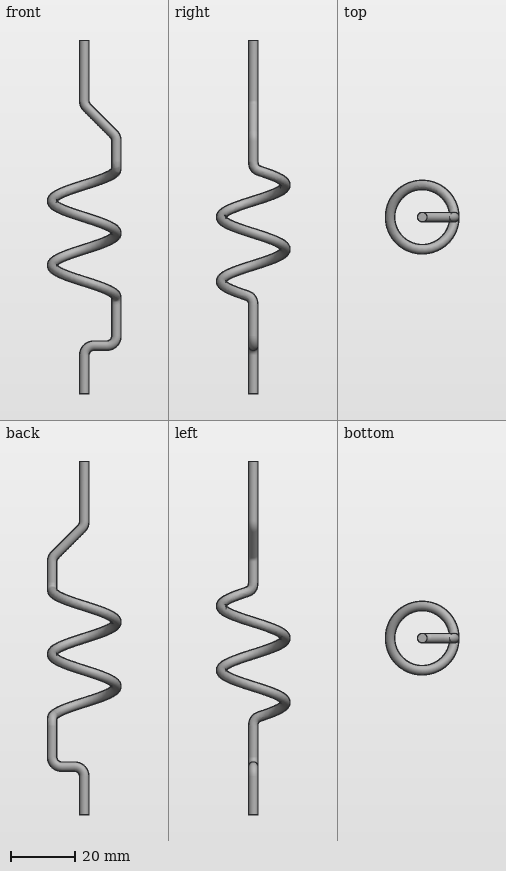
import cadquery as cq
import math

wire_diameter = 3.0
coil_radius = 10.0
coil_pitch = 20.0
coil_turns = 2
bend_radius = 3.0

lower_crank_z = 15.0
coil_start_z = 30.0
coil_end_z = coil_start_z + coil_turns * coil_pitch
upper_crank_start_z = 80.0
upper_crank_end_z = upper_crank_start_z + coil_radius
top_z = 110.0

helix_angle = math.atan(coil_pitch / (2 * math.pi * coil_radius))
coil_bend_setback = bend_radius * math.tan((math.pi / 2 - helix_angle) / 2)
coil_bend_sweep = coil_bend_setback * math.cos(helix_angle) / coil_radius
coil_sweep = 2 * math.pi * coil_turns


def coil_point(angle):
    """Point on the left-handed coil after turning by angle from its lower end."""
    return cq.Vector(
        coil_radius * math.cos(angle),
        -coil_radius * math.sin(angle),
        coil_start_z + coil_pitch * angle / (2 * math.pi),
    )


def coil_tangent(angle):
    """Unit direction of the rising coil at angle."""
    return cq.Vector(
        -math.cos(helix_angle) * math.sin(angle),
        -math.cos(helix_angle) * math.cos(angle),
        math.sin(helix_angle),
    )


def rounded_polyline(corners):
    """Edges through the corners, with an arc of bend_radius at each inner one."""
    edges = []
    start = corners[0]
    for before, corner, after in zip(corners, corners[1:], corners[2:]):
        incoming = (corner - before).normalized()
        outgoing = (after - corner).normalized()
        setback = bend_radius * math.tan(incoming.getAngle(outgoing) / 2)
        arc_start = corner - incoming * setback
        arc_end = corner + outgoing * setback
        edges.append(cq.Edge.makeLine(start, arc_start))
        edges.append(cq.Edge.makeTangentArc(arc_start, incoming, arc_end))
        start = arc_end
    edges.append(cq.Edge.makeLine(start, corners[-1]))
    return edges


def lower_leg():
    """Axial leg, square crank outwards and riser to the lower coil bend."""
    return rounded_polyline([
        cq.Vector(0, 0, 0),
        cq.Vector(0, 0, lower_crank_z),
        cq.Vector(coil_radius, 0, lower_crank_z),
        cq.Vector(coil_radius, 0, coil_start_z - coil_bend_setback),
    ])


def upper_leg():
    """Riser from the upper coil bend, sloping crank inwards and axial leg."""
    return rounded_polyline([
        cq.Vector(coil_radius, 0, coil_end_z + coil_bend_setback),
        cq.Vector(coil_radius, 0, upper_crank_start_z),
        cq.Vector(0, 0, upper_crank_end_z),
        cq.Vector(0, 0, top_z),
    ])


def coil():
    """Left-handed helix between the two coil bends."""
    first_angle = coil_bend_sweep
    height = coil_pitch * (coil_sweep - 2 * coil_bend_sweep) / (2 * math.pi)
    helix = cq.Wire.makeHelix(coil_pitch, height, coil_radius, lefthand=True)
    helix = helix.rotate(cq.Vector(), cq.Vector(0, 0, 1), -math.degrees(first_angle))
    return helix.translate(cq.Vector(0, 0, coil_point(first_angle).z)).Edges()


def coil_bend(start, start_direction, end, end_direction):
    """Smooth curve joining a vertical riser to the coil."""
    return [cq.Edge.makeSpline([start, end], tangents=[start_direction, end_direction])]


lower_edges = lower_leg()
upper_edges = upper_leg()
up = cq.Vector(0, 0, 1)
last_angle = coil_sweep - coil_bend_sweep
lower_bend = coil_bend(
    lower_edges[-1].endPoint(), up, coil_point(coil_bend_sweep), coil_tangent(coil_bend_sweep)
)
upper_bend = coil_bend(
    coil_point(last_angle), coil_tangent(last_angle), upper_edges[0].startPoint(), up
)

centreline = cq.Wire.assembleEdges(lower_edges + lower_bend + coil() + upper_bend + upper_edges)
result = cq.Workplane("XY").circle(wire_diameter / 2).sweep(cq.Workplane(obj=centreline))